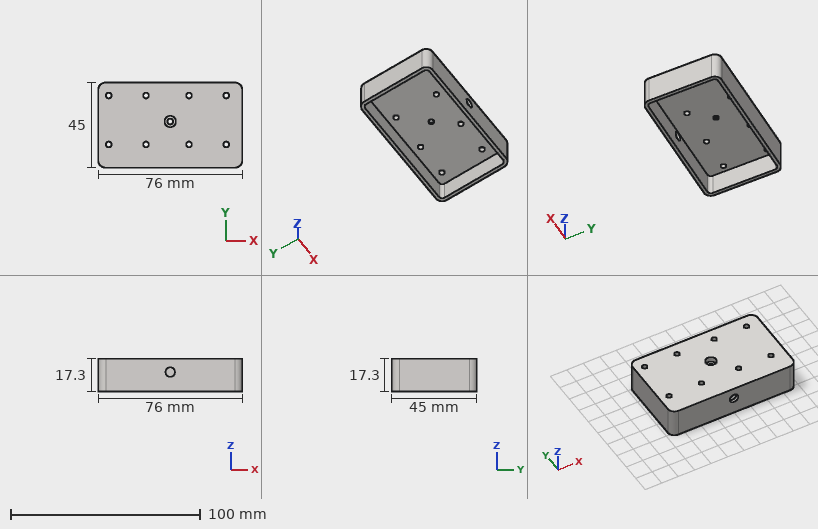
import cadquery as cq

length = 76.0
width = 45.0
height = 17.3
corner_radius = 4.0

wall = 2.0
top_thickness = 4.0

screw_diameter = 2.9
hole_spacing_x = 19.6
left_pair_x = -32.4
right_pair_x = 9.9
front_row_y = -10.2
back_row_y = 15.6
counterbore_diameter = 6.0
counterbore_depth = 3.3
counterbore_y = 1.9

port_diameter = 5.0
port_z = 10.25


def rounded_block(size_x, size_y, size_z, radius):
    """Block standing on Z = 0 with rounded vertical edges."""
    block = cq.Workplane("XY").box(size_x, size_y, size_z, centered=(True, True, False))
    return block.edges("|Z").fillet(radius)


def vertical_holes(points, diameter):
    """Cylinders through the full height at the given points."""
    return cq.Workplane("XY").pushPoints(points).circle(diameter / 2).extrude(height)


housing = rounded_block(length, width, height, corner_radius)
cavity = rounded_block(
    length - 2 * wall, width - 2 * wall, height - top_thickness, corner_radius - wall
)
housing = housing.cut(cavity)

mounting_points = [
    (x, y)
    for pair_x in (left_pair_x, right_pair_x)
    for x in (pair_x, pair_x + hole_spacing_x)
    for y in (front_row_y, back_row_y)
]
housing = housing.cut(vertical_holes(mounting_points + [(0, counterbore_y)], screw_diameter))
counterbore = (
    cq.Workplane("XY", origin=(0, counterbore_y, height))
    .circle(counterbore_diameter / 2)
    .extrude(-counterbore_depth)
)
housing = housing.cut(counterbore)

port = (
    cq.Workplane("XZ", origin=(0, -width / 2, port_z))
    .circle(port_diameter / 2)
    .extrude(-wall)
)
housing = housing.cut(port)

result = housing